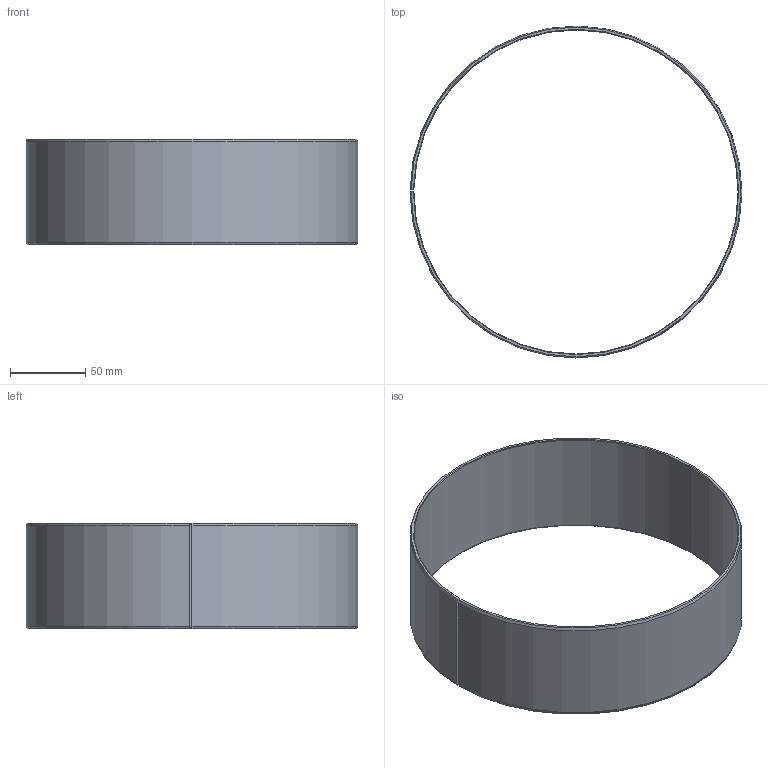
import cadquery as cq

outer_diameter = 220.0
height = 70.0
wall_thickness = 2.5

outer_bevel_height = 1.8
outer_bevel_depth = 0.65
inner_bevel_height = 0.6
inner_bevel_depth = 0.35

slit_width = 1.75

outer_radius = outer_diameter / 2
inner_radius = outer_radius - wall_thickness


def make_band():
    """Thin ring standing on Z = 0, with steep bevels on all four rim edges."""
    rim_inner_radius = inner_radius + inner_bevel_depth
    rim_outer_radius = outer_radius - outer_bevel_depth
    wall_section = [
        (rim_inner_radius, 0),
        (rim_outer_radius, 0),
        (outer_radius, outer_bevel_height),
        (outer_radius, height - outer_bevel_height),
        (rim_outer_radius, height),
        (rim_inner_radius, height),
        (inner_radius, height - inner_bevel_height),
        (inner_radius, inner_bevel_height),
    ]
    axis_start = (0, 0, 0)
    axis_end = (0, 1, 0)
    return cq.Workplane("XZ").polyline(wall_section).close().revolve(360, axis_start, axis_end)


def make_slit():
    """Cutter that splits the wall on the -X side over the full height."""
    cutter_length = 4 * wall_thickness
    return (
        cq.Workplane("XY")
        .box(cutter_length, slit_width, height, centered=(True, False, False))
        .translate((-outer_radius, 0, 0))
    )


result = make_band().cut(make_slit())